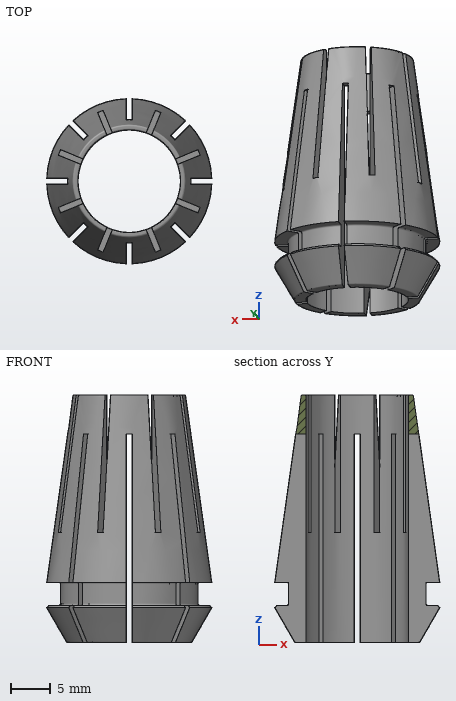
import cadquery as cq
import math

total_length = 31.5
bore_diameter = 13.0
max_radius = 10.5

taper_half_angle = 8.0
taper_base_z = 7.65
top_outer_edge_radius = 0.25
top_bore_edge_radius = 0.2

groove_radius = 8.75
groove_base_z = 4.75
groove_corner_radius = 0.2

nose_half_angle = 30.0
nose_rim_z = 4.45
nose_edge_radius = 0.2

slot_count = 8
slot_width = 0.75
lower_slot_top_z = 26.5
upper_slot_base_z = 14.0
overrun = 1.0

bore_radius = bore_diameter / 2
taper_length = total_length - taper_base_z
taper_top_radius = max_radius - taper_length * math.tan(math.radians(taper_half_angle))
nose_rim_bevel = groove_base_z - nose_rim_z
nose_tip_radius = max_radius - nose_rim_z * math.tan(math.radians(nose_half_angle))
slot_pitch = 360 / slot_count


def turned_body():
    """Revolved sleeve: nose cone, extraction groove and clamping taper around the bore."""
    half_section = (
        cq.Workplane("XZ")
        .moveTo(bore_radius, 0)
        .lineTo(nose_tip_radius, 0)
        .lineTo(max_radius, nose_rim_z)
        .lineTo(max_radius - nose_rim_bevel, groove_base_z)
        .lineTo(groove_radius, groove_base_z)
        .lineTo(groove_radius, taper_base_z)
        .lineTo(max_radius, taper_base_z)
        .lineTo(taper_top_radius, total_length)
        .lineTo(bore_radius, total_length)
        .close()
    )
    return half_section.revolve(360, (0, 0, 0), (0, 1, 0))


def circle_edges(body, radius, z):
    """Circular edges of the given radius lying at height z."""
    tolerance = 0.01
    selector = cq.selectors.BoxSelector(
        (-tolerance, -tolerance, z - tolerance),
        (tolerance, tolerance, z + tolerance),
    )
    rings = body.edges("%CIRCLE").edges(selector)
    return rings.filter(lambda edge: abs(edge.radius() - radius) < tolerance)


def round_edges(body):
    """Round the mouth of the sleeve, the groove corners and the outer edge of the nose face."""
    body = circle_edges(body, taper_top_radius, total_length).fillet(top_outer_edge_radius)
    body = circle_edges(body, bore_radius, total_length).fillet(top_bore_edge_radius)
    body = circle_edges(body, groove_radius, groove_base_z).fillet(groove_corner_radius)
    body = circle_edges(body, groove_radius, taper_base_z).fillet(groove_corner_radius)
    return circle_edges(body, nose_tip_radius, 0).fillet(nose_edge_radius)


def slot_ring(base_z, top_z, first_angle):
    """Radial slot cutters, equally spaced, each reaching from the axis past the outside."""
    size = (2 * max_radius, slot_width, top_z - base_z)
    cutter = cq.Workplane("XY").box(*size, centered=(False, True, False))
    cutter = cutter.translate((0, 0, base_z))
    ring = cq.Workplane("XY")
    for index in range(slot_count):
        ring = ring.add(cutter.rotate((0, 0, 0), (0, 0, 1), first_angle + index * slot_pitch))
    return ring.combine()


body = round_edges(turned_body())
lower_slots = slot_ring(-overrun, lower_slot_top_z, 0)
upper_slots = slot_ring(upper_slot_base_z, total_length + overrun, slot_pitch / 2)
result = body.cut(lower_slots).cut(upper_slots)